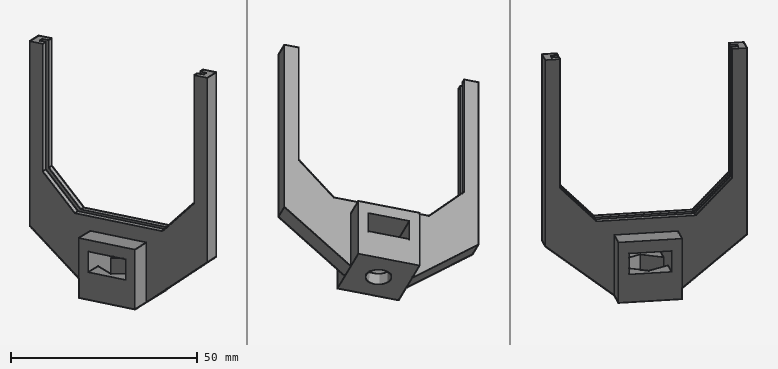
import cadquery as cq

width = 55.1
height = 68.2
block_size = 17.4
block_height = 17.25

frame_thickness = 5.0
arm_width = 4.1
outer_shoulder_z = 15.15
inner_shoulder_z = 31.5
inner_floor_z = 21.4
inner_floor_width = 27.0

slot_width = 1.5
slot_depth = 2.0

window_width = 11.6
window_height = 5.95
window_bottom_z = 8.0
nut_pocket_depth = 4.5
bolt_diameter = 6.95

inner_width = width - 2 * arm_width


def slab(sketch, thickness):
    """Extrude an XZ outline symmetrically about the Y = 0 plane."""
    return sketch.extrude(thickness / 2, both=True)


def opening_outline():
    """Inner outline of the U, open at the arm tips."""
    return cq.Workplane("XZ").polyline([
        (-inner_width / 2, height),
        (-inner_width / 2, inner_shoulder_z),
        (-inner_floor_width / 2, inner_floor_z),
        (inner_floor_width / 2, inner_floor_z),
        (inner_width / 2, inner_shoulder_z),
        (inner_width / 2, height),
    ]).close()


def make_frame():
    outer = cq.Workplane("XZ").polyline([
        (-width / 2, height),
        (-width / 2, outer_shoulder_z),
        (-block_size / 2, 0),
        (block_size / 2, 0),
        (width / 2, outer_shoulder_z),
        (width / 2, height),
    ]).close()
    return (
        slab(outer, frame_thickness)
        .cut(slab(opening_outline(), frame_thickness))
    )


def make_slot():
    """Rectangular slot for a flat panel, cut down from the arm tips."""
    bottom_z = inner_floor_z - slot_depth
    slot_height = height - bottom_z
    return (
        cq.Workplane("XY")
        .box(inner_width + 2 * slot_depth, slot_width, slot_height)
        .translate((0, 0, bottom_z + slot_height / 2))
    )


def make_block():
    return cq.Workplane("XY").rect(block_size, block_size).extrude(block_height)


def make_window():
    center_z = window_bottom_z + window_height / 2
    return cq.Workplane("XY").box(window_width, block_size, window_height).translate((0, 0, center_z))


def make_nut_pocket():
    """Hexagon below the window, with its flats in line with the window sides."""
    return (
        cq.Workplane("XY", origin=(0, 0, window_bottom_z - nut_pocket_depth))
        .polygon(6, window_width, circumscribed=True)
        .extrude(nut_pocket_depth)
    )


def make_bolt_hole():
    return cq.Workplane("XY").circle(bolt_diameter / 2).extrude(window_bottom_z)


result = (
    make_frame()
    .cut(make_slot())
    .union(make_block())
    .cut(make_window())
    .cut(make_nut_pocket())
    .cut(make_bolt_hole())
)